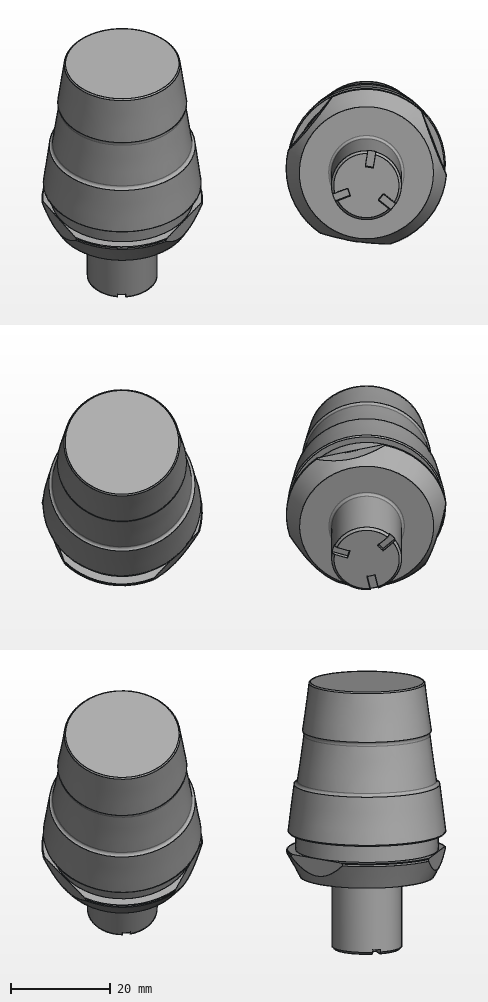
import cadquery as cq
import math

height = 54.8
flange_radius = 16.2

stem_radius = 7.05
stem_chamfer = 0.5
stem_fillet = 0.55

flange_bottom = 14.9
flange_bottom_radius = 13.55
flange_top = 20.4
rim_height = 0.55
rim_chamfer = 0.15
flat_distance = 14.6
flat_count = 3

neck_radius = 14.4
neck_top = 23.9

lower_base_radius = 15.95
lower_edge = 0.3
lower_top = 33.8
lower_top_radius = 14.75
middle_base = 34.45
middle_base_radius = 14.1
middle_top = 43.9
middle_top_radius = 12.75
upper_base = 44.75
upper_base_radius = 13.05
upper_top_radius = 11.7
top_chamfer = 0.3

notch_count = 3
notch_width = 1.65
notch_height = 1.0
notch_depth = 3.3


def hollow_arc(sketch, corner, end):
    """Continue the outline with a concave arc that rounds an inner corner."""
    start = sketch.val().endPoint()
    pull = 1 - math.sqrt(0.5)
    middle = (
        corner[0] + pull * (start.x + end[0] - 2 * corner[0]),
        corner[1] + pull * (start.z + end[1] - 2 * corner[1]),
    )
    return sketch.threePointArc(middle, end)


def make_body():
    """Revolve the half profile about the Z axis."""
    profile = (
        cq.Workplane("XZ")
        .lineTo(stem_radius - stem_chamfer, 0)
        .lineTo(stem_radius, stem_chamfer)
        .lineTo(stem_radius, flange_bottom - stem_fillet)
    )
    profile = hollow_arc(
        profile,
        (stem_radius, flange_bottom),
        (stem_radius + stem_fillet, flange_bottom),
    )
    profile = (
        profile.lineTo(flange_bottom_radius, flange_bottom)
        .lineTo(flange_radius, flange_top - rim_height)
        .lineTo(flange_radius, flange_top - rim_chamfer)
        .lineTo(flange_radius - rim_chamfer, flange_top)
        .lineTo(neck_radius, flange_top)
        .lineTo(neck_radius, neck_top)
        .lineTo(lower_base_radius - lower_edge, neck_top)
        .lineTo(lower_base_radius, neck_top + lower_edge)
        .lineTo(lower_top_radius, lower_top)
    )
    profile = hollow_arc(
        profile,
        (middle_base_radius, lower_top),
        (middle_base_radius, middle_base),
    )
    profile = profile.lineTo(middle_top_radius, middle_top)
    profile = hollow_arc(
        profile,
        (middle_top_radius, upper_base),
        (upper_base_radius, upper_base),
    )
    profile = (
        profile.lineTo(upper_top_radius, height - top_chamfer)
        .lineTo(upper_top_radius - top_chamfer, height)
        .lineTo(0, height)
        .close()
    )
    return profile.revolve(360, (0, 0), (0, 1))


def make_flat_cutter():
    """Block that trims the flange to a flat on the -Y side."""
    depth = flange_radius - flat_distance
    return (
        cq.Workplane("XY", origin=(0, -flat_distance - depth / 2, flange_bottom))
        .rect(2 * flange_radius, depth)
        .extrude(flange_top - flange_bottom)
    )


def make_notch_cutter():
    """Block that opens a notch at the foot of the stem on the +Y side."""
    return (
        cq.Workplane("XY", origin=(0, stem_radius, 0))
        .rect(notch_width, 2 * notch_depth)
        .extrude(notch_height)
    )


def cut_around(body, cutter, count):
    """Cut equally spaced copies of the cutter around the Z axis."""
    for index in range(count):
        body = body.cut(cutter.rotate((0, 0, 0), (0, 0, 1), index * 360 / count))
    return body


result = make_body()
result = cut_around(result, make_flat_cutter(), flat_count)
result = cut_around(result, make_notch_cutter(), notch_count)